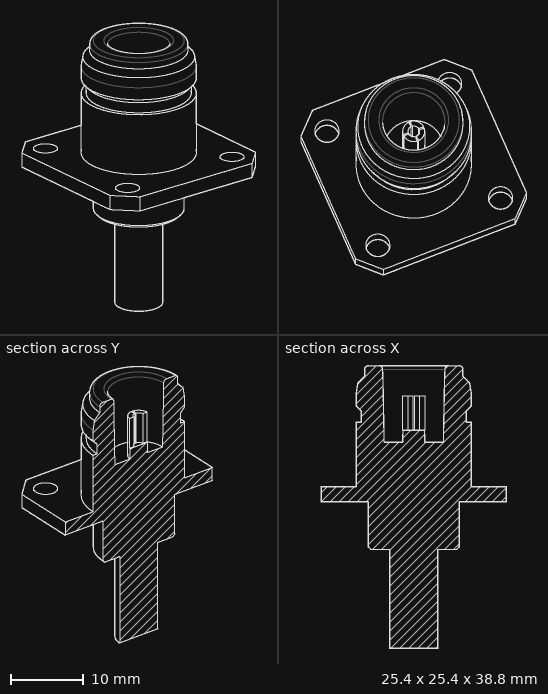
import cadquery as cq

total_height = 38.8
body_bottom = 13.55
flange_bottom = 20.1
flange_thickness = 2.1

flange_side = 25.4
corner_chamfer = 2.9
hole_diameter = 3.3
hole_spacing = 18.25

stem_radius = 3.3
body_radius = 6.25
body_chamfer = 0.4

barrel_radius = 7.9
shoulder_z = 31.05
relief_radius = 7.2
relief_top = 32.55
collar_bottom = relief_top + barrel_radius - relief_radius
collar_top = 35.05
collar_rim_radius = 7.7
collar_rim_z = 36.45
nose_radius = 6.75
nose_bottom = collar_rim_z + collar_rim_radius - nose_radius
lip_fillet = 0.5

mouth_radius = 4.25
floor_radius = 4.07
bore_depth = 10.48
bore_floor = total_height - bore_depth

contact_radius = 1.5
contact_hole_radius = 0.78
contact_top = 34.6
contact_hole_depth = 4.65
slot_width = 0.2


def make_shell():
    """Revolve the stem, body, barrel and socket as one profile of radius and height."""
    lip_bottom = total_height - lip_fillet
    arc_offset = lip_fillet * (1 - 0.5**0.5)
    profile = (
        cq.Workplane("XZ")
        .moveTo(0, 0)
        .lineTo(stem_radius, 0)
        .lineTo(stem_radius, body_bottom)
        .lineTo(body_radius - body_chamfer, body_bottom)
        .lineTo(body_radius, body_bottom + body_chamfer)
        .lineTo(body_radius, flange_bottom)
        .lineTo(barrel_radius, flange_bottom)
        .lineTo(barrel_radius, shoulder_z)
        .lineTo(relief_radius, shoulder_z)
        .lineTo(relief_radius, relief_top)
        .lineTo(barrel_radius, collar_bottom)
        .lineTo(barrel_radius, collar_top)
        .lineTo(collar_rim_radius, collar_rim_z)
        .lineTo(nose_radius, nose_bottom)
        .lineTo(nose_radius, lip_bottom)
        .threePointArc(
            (nose_radius - arc_offset, total_height - arc_offset),
            (nose_radius - lip_fillet, total_height),
        )
        .lineTo(mouth_radius + lip_fillet, total_height)
        .threePointArc(
            (mouth_radius + arc_offset, total_height - arc_offset),
            (mouth_radius, lip_bottom),
        )
        .lineTo(floor_radius, bore_floor)
        .lineTo(0, bore_floor)
        .close()
    )
    return profile.revolve(360, (0, 0, 0), (0, 1, 0))


def make_flange():
    """Square plate with cut corners and four holes."""
    return (
        cq.Workplane("XY", origin=(0, 0, flange_bottom))
        .rect(flange_side, flange_side)
        .extrude(flange_thickness)
        .edges("|Z")
        .chamfer(corner_chamfer)
        .faces(">Z")
        .workplane()
        .rect(hole_spacing, hole_spacing, forConstruction=True)
        .vertices()
        .hole(hole_diameter)
    )


def make_contact():
    """Hollow centre contact split by two crossing slots."""
    contact = (
        cq.Workplane("XY", origin=(0, 0, bore_floor))
        .circle(contact_radius)
        .extrude(contact_top - bore_floor)
        .faces(">Z")
        .workplane()
        .hole(2 * contact_hole_radius, contact_hole_depth)
    )
    slot = (
        cq.Workplane("XY", origin=(0, 0, contact_top - contact_hole_depth))
        .rect(2 * contact_radius, slot_width)
        .extrude(contact_hole_depth)
    )
    for angle in (0, 90):
        contact = contact.cut(slot.rotate((0, 0, 0), (0, 0, 1), angle))
    return contact


result = make_shell().union(make_flange()).union(make_contact())